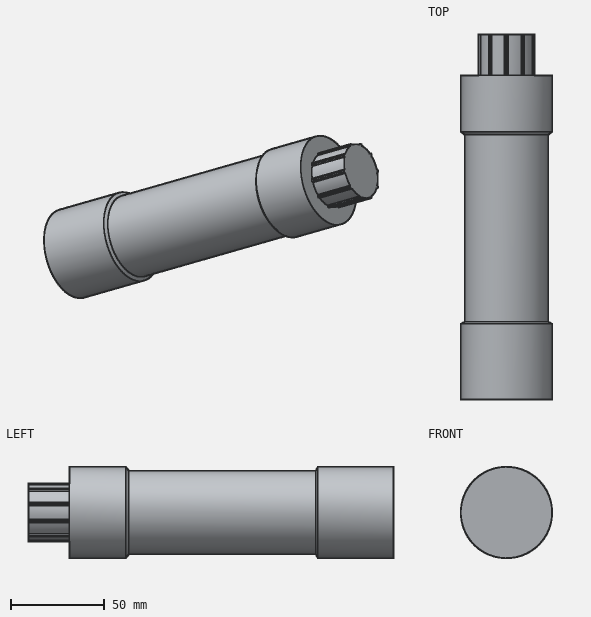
import cadquery as cq

total_length = 195.0
front_y = -total_length / 2
spline_end_y = total_length / 2

collar_radius = 24.47
barrel_radius = 22.5
front_collar_length = 40.4
rear_collar_length = 30.0
front_bevel_length = 1.2
rear_bevel_length = 1.8

spline_length = 21.8
spline_core_radius = 14.8
rib_base_width = 2.1
rib_tip_width = 1.0
rib_tip_radius = 15.6
rib_count = 10

rear_y = spline_end_y - spline_length


def make_housing():
    """Barrel and bevelled collars, revolved about the Y axis."""
    front_shoulder_y = front_y + front_collar_length
    rear_shoulder_y = rear_y - rear_collar_length
    half_section = [
        (0, front_y),
        (collar_radius, front_y),
        (collar_radius, front_shoulder_y),
        (barrel_radius, front_shoulder_y + front_bevel_length),
        (barrel_radius, rear_shoulder_y - rear_bevel_length),
        (collar_radius, rear_shoulder_y),
        (collar_radius, rear_y),
        (0, rear_y),
    ]
    return cq.Workplane("XY").polyline(half_section).close().revolve(360, (0, 0), (0, 1))


def make_splined_shaft():
    """Round core with evenly spaced tapered ribs, one of them pointing to +Z."""
    rear_face = cq.Workplane("XZ", origin=(0, rear_y, 0))
    shaft = rear_face.circle(spline_core_radius).extrude(-spline_length)
    rib_profile = [
        (-rib_base_width / 2, 0),
        (rib_base_width / 2, 0),
        (rib_base_width / 2, spline_core_radius),
        (rib_tip_width / 2, rib_tip_radius),
        (-rib_tip_width / 2, rib_tip_radius),
        (-rib_base_width / 2, spline_core_radius),
    ]
    rib = rear_face.polyline(rib_profile).close().extrude(-spline_length)
    for index in range(rib_count):
        angle = index * 360 / rib_count
        shaft = shaft.union(rib.rotate((0, 0, 0), (0, 1, 0), angle))
    return shaft


housing = make_housing()
splined_shaft = make_splined_shaft()

result = cq.Compound.makeCompound([housing.val(), splined_shaft.val()])